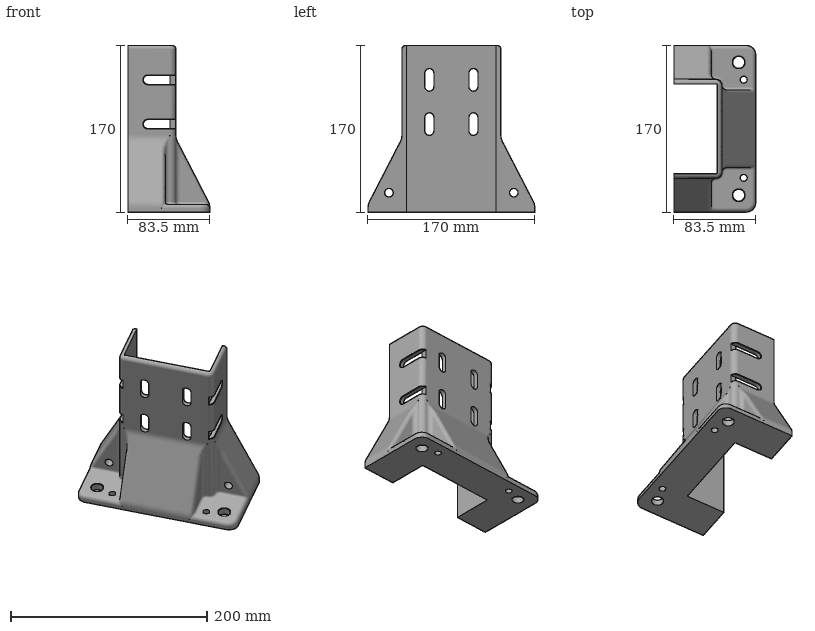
import cadquery as cq
import math

height = 170.0
width = 170.0
depth = 83.5

wall = 5.0
arm_half_width = 50.5
back_x = 49.0
corner_r = 6.1
inner_corner_r = corner_r - wall

plate_height = 8.0
plate_corner_r = 10.0

slope_top_z = 75.0
slope_blend_r = 14.0
flare_r = 4.8
side_gusset_length = back_x - corner_r - flare_r
middle_gusset_half = arm_half_width - corner_r - flare_r

edge_r = 4.0
foot_r = 2.5
rim_chamfer = 0.5

slot_width = 9.0
slot_levels = (89.8, 134.8)
back_slot_length = 22.8
back_slot_y = 22.5
arm_slot_start_x = 15.8
bolt_d = 12.0
bolt_xy = (66.0, 67.7)
pin_d = 6.8
pin_xy = (71.0, 50.0)
gusset_hole_d = 8.5
gusset_hole_yz = (63.5, 19.9)

slack = 8.5


def corner_block(x_size, y_size, z_size, radius):
    """Block from the origin with its +X +Y vertical edge rounded."""
    block = cq.Workplane("XY").box(x_size, y_size, z_size, centered=False)
    return block.edges("|Z and >X and >Y").fillet(radius)


def round_top(block):
    """Round the top edges on the +X and +Y sides."""
    return block.faces(">Z").edges("not(<X or <Y)").fillet(edge_r)


def arc_middle(center, radius, angle):
    """Point of a circle at the given angle, for use as an arc midpoint."""
    return (center[0] + radius * math.cos(angle), center[1] + radius * math.sin(angle))


def gusset(length, wall_face, toe):
    """Gusset along +X from the origin, sloping from the wall face down to the toe in +Y."""
    root = wall_face - wall / 2
    lean = math.atan2(toe - wall_face, slope_top_z - plate_height)
    tangent = slope_blend_r * math.tan(lean / 2)
    run, rise = tangent * math.sin(lean), tangent * math.cos(lean)
    upper_center = (wall_face + slope_blend_r, slope_top_z + tangent)
    lower_center = (toe - slope_blend_r, plate_height - tangent)

    slope = (
        cq.Workplane("YZ")
        .moveTo(root, 0)
        .lineTo(root, upper_center[1])
        .lineTo(wall_face, upper_center[1])
        .threePointArc(
            arc_middle(upper_center, slope_blend_r, math.pi + lean / 2),
            (wall_face + run, slope_top_z - rise),
        )
        .lineTo(toe - run, plate_height + rise)
        .threePointArc(
            arc_middle(lower_center, slope_blend_r, lean / 2),
            (toe, lower_center[1]),
        )
        .lineTo(toe, 0)
        .close()
        .extrude(length + flare_r)
    )

    flare_center = (length + flare_r, wall_face + flare_r)
    plan = (
        cq.Workplane("XY")
        .moveTo(0, root)
        .lineTo(length + flare_r, root)
        .lineTo(length + flare_r, wall_face)
        .threePointArc(
            arc_middle(flare_center, flare_r, math.radians(225)),
            (length, wall_face + flare_r),
        )
        .lineTo(length, toe)
        .lineTo(0, toe)
        .close()
        .extrude(height)
    )

    flank_middle = (length, (wall_face + toe) / 2, (slope_top_z + plate_height) / 2)
    body = slope.intersect(plan)
    return body.edges(cq.selectors.NearestToPointSelector(flank_middle)).fillet(edge_r)


def half_body():
    """The +Y half of the bracket before slots and holes."""
    channel = round_top(corner_block(back_x, arm_half_width, height, corner_r))
    plate = round_top(corner_block(depth, width / 2, plate_height, plate_corner_r))
    side_gusset = gusset(side_gusset_length, arm_half_width, width / 2)
    middle_gusset = gusset(middle_gusset_half, back_x, depth).mirror(cq.Vector(1, -1, 0))
    opening = corner_block(back_x - wall, arm_half_width - wall, height, inner_corner_r)
    body = plate.union(side_gusset).union(middle_gusset).union(channel).cut(opening)

    foot_point = (side_gusset_length, (arm_half_width + width / 2) / 2, plate_height)
    return body.edges(cq.selectors.NearestToPointSelector(foot_point)).fillet(foot_r)


def cut_back_slots(body):
    """Upright slots through the back wall."""
    cutter = (
        cq.Workplane("YZ")
        .pushPoints([(back_slot_y, z) for z in slot_levels])
        .slot2D(back_slot_length, slot_width, 90)
        .extrude(back_x + slack)
    )
    return body.cut(cutter)


def cut_arm_slots(body):
    """Slots through the arm, open at the outer corner, with chamfered outer rims."""
    length = back_x + slack - arm_slot_start_x
    for z in slot_levels:
        cutter = (
            cq.Workplane("XZ", origin=(arm_slot_start_x + length / 2, arm_half_width - wall, z))
            .slot2D(length, slot_width)
            .extrude(-wall - slack)
        )
        rim_point = (arm_slot_start_x, arm_half_width, z)
        body = body.cut(cutter)
        body = body.edges(cq.selectors.NearestToPointSelector(rim_point)).chamfer(rim_chamfer)
    return body


def cut_holes(body):
    """Bolt and pin holes in the plate and the cross hole in the side gusset."""
    bolt = cq.Workplane("XY").center(*bolt_xy).circle(bolt_d / 2).extrude(plate_height)
    pin = cq.Workplane("XY").center(*pin_xy).circle(pin_d / 2).extrude(plate_height)
    cross = cq.Workplane("YZ").center(*gusset_hole_yz).circle(gusset_hole_d / 2).extrude(depth)
    body = body.cut(bolt).cut(pin).cut(cross)
    bolt_rim_center = (*bolt_xy, plate_height)
    return body.edges(cq.selectors.NearestToPointSelector(bolt_rim_center)).chamfer(rim_chamfer)


half = cut_holes(cut_arm_slots(cut_back_slots(half_body())))
result = half.union(half.mirror("XZ"))